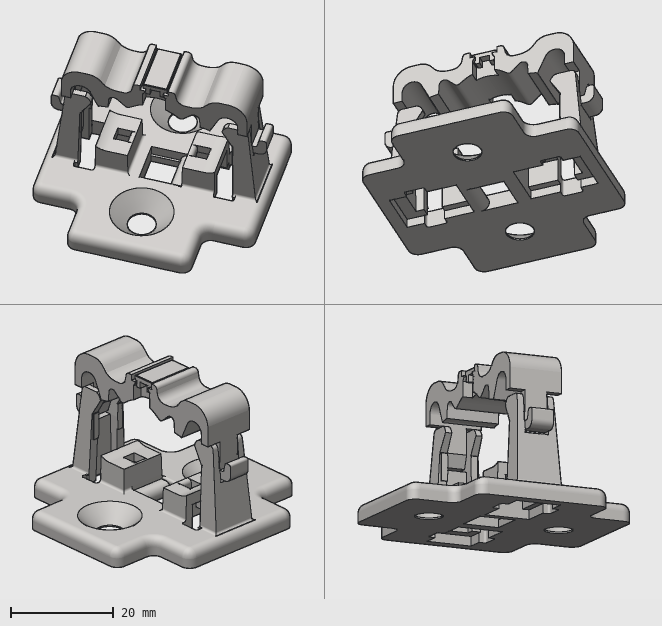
import cadquery as cq
import math

BASE_LENGTH_X = 45.0
BASE_LENGTH_Y = 48.0
WING_WIDTH_X = 25.15
WING_WIDTH_Y = 28.15
BASE_HEIGHT = 3.8
CORNER_RADIUS = 1.95
BASE_EDGE_RADIUS = 1.8
SCREW_Y = 14.0
SCREW_DIAMETER = 5.6
SINK_DIAMETER = 12.6
SINK_ANGLE = 90.0

SLOT_INNER_X = 12.1
SLOT_OUTER_X = 16.3
SLOT_LENGTH = 12.5
SLOT_CORNER_RADIUS = 0.5

HOLLOW_OUTER_X = 19.9
HOLLOW_HEIGHT = 1.9

WINDOW_LEFT_X = -3.05
WINDOW_FRONT_Y = -5.05
WINDOW_BACK_Y = 3.0
WINDOW_EDGE_RADIUS = 0.55
BAR_NOSE_X = 2.9
BAR_HEIGHT = 3.35
LEDGE_HEIGHT = 1.65
LEDGE_DEPTH = 0.5

FLARE = 0.55
FLARE_TOP = BASE_HEIGHT + FLARE
FLARE_BEND = FLARE * (1 - math.sqrt(0.5))

BLOCK_INNER_X = 5.45
BLOCK_INNER_TOP_X = 5.55
BLOCK_HEIGHT = 8.75
BLOCK_RIM_HEIGHT = 9.35
BLOCK_FLAT_END_X = 9.8
BLOCK_HALF_BOTTOM = 5.1
BLOCK_HALF_TOP = 4.95
POCKET_INNER_X = 5.95
POCKET_OUTER_X = 9.45
POCKET_WIDTH = 2.9
POCKET_EDGE_RADIUS = 0.75
CAVITY_WIDTH = 6.7
CAVITY_HEIGHT = 6.9

POST_HEIGHT = 21.95
POST_OUTER_BOTTOM_X = 20.3
POST_OUTER_TOP = (18.6, 21.0)
POST_TOP_X = (17.75, 14.45)
POST_TOOTH_BEND = (13.75, 21.35)
POST_TOOTH = (13.3, 20.45)
POST_NECK = (15.5, 16.85)
POST_INNER_BOTTOM_X = 15.7
POST_HALF_BOTTOM = 4.75
POST_HALF_TOP = 3.9
FORK_FLOOR = 13.95
FORK_HALF_BOTTOM = 2.5
FORK_HALF_TOP = 2.65
GROOVE_FLOOR_X = 17.4
GROOVE_HALF_BOTTOM = 3.0
PAD_X = 15.25
PAD_BOTTOM = 11.3
PAD_END_Y = 3.85

ARCH_WIDTH = 11.15
ARCH_TOP = 30.5
ARCH_OUTER_X = 18.8
ARCH_FOOT = 22.55
LEG_INNER_X = 16.95

SEAT_WALL_TOP_X = 3.55
SEAT_WALL_BEND = (4.15, 30.25)
SEAT_WALL_SIDE = (4.35, 29.65)
DIP_START = (4.55, 28.75)
DIP_INNER_BEND = (5.25, 27.8)
DIP_FLOOR_START = (6.35, 27.4)
DIP_FLOOR_END = (7.5, 27.4)
DIP_OUTER_BEND = (8.8, 27.65)
DIP_END = (9.95, 28.2)
SHOULDER_START = (10.95, 29.4)
SHOULDER_INNER_BEND = (12.05, 30.2)
SHOULDER_TOP_X = (13.4, 15.15)
SHOULDER_OUTER_BEND = (17.65, 29.4)
SHOULDER_END_Z = 26.8

LEG_HOLLOW_Z = 24.65
LEG_HOLLOW_CROWN = (14.95, 26.65)
LEG_HOLLOW_END = (12.9, 25.3)
TOOTH_TIP = (11.35, 21.85)
TOOTH_BEND = (10.95, 22.05)
TOOTH_INNER = (9.35, 22.25)
NOTCH_START = (9.2, 24.45)
NOTCH_CROWN = (8.35, 25.35)
NOTCH_END = (7.45, 25.05)
RIDGE_START = (5.95, 23.65)
RIDGE_TIP = (5.45, 23.4)
RIDGE_END = (4.9, 23.6)
MIDDLE_SPRING = (3.8, 24.4)
MIDDLE_BEND = (1.95, 25.25)
MIDDLE_CROWN_Z = 25.55

ARM_WIDTH = 4.7
ARM_BOTTOM = 14.6
HOOK_OUTER_X = 21.85
HOOK_TOP = 18.55
HOOK_BOTTOM_X = 20.45
HOOK_BOTTOM_BEND = (21.4, 15.05)
HOOK_SIDE_Z = (16.2, 18.0)
HOOK_TIP_OUTER_BEND = (21.7, 18.4)
HOOK_TIP_X = (21.3, 20.75)
HOOK_TIP_INNER_BEND = (20.35, 18.35)
HOOK_THROAT_TOP = (20.2, 17.95)
HOOK_THROAT_BOTTOM = (19.9, 16.8)
HOOK_THROAT_BEND = (19.8, 16.55)
HOOK_THROAT_FLOOR = (19.55, 16.45)
ARM_BEVEL_TOP = 17.3
ARM_TIP_X = 17.85
KEY_INNER_X = 18.05
KEY_BOTTOM = 16.3
KEY_TOP = 18.25

SEAT_HALF = 2.85
SEAT_Z = 29.3
CLIP_HALF = 2.45
CLIP_LENGTH = 9.95
CLIP_TOP = 30.35
CLIP_CHAMFER = 0.15
CLIP_LEG_INNER_X = 1.0
CLIP_LEG_OUTER_X = 2.1
CLIP_NECK_X = 1.8
CLIP_LEG_BOTTOM = 27.95
CLIP_LEG_CHAMFER = 0.3
CLIP_BARB_TOP = 29.0
RECESS_HALF = 2.3
RECESS_SHOULDER = 28.2
BARB_SHOULDER = RECESS_SHOULDER + CLIP_LEG_OUTER_X - CLIP_NECK_X
RECESS_DEPTH = 2.1


def box(x_range, y_range, z_range):
    """Box between the given limits."""
    size = [end - start for start, end in (x_range, y_range, z_range)]
    return cq.Workplane("XY").box(*size, centered=False).translate((x_range[0], y_range[0], z_range[0]))


def trapezoid(start_x, end_x, bottom, top):
    """Prism along X between two levels, each given as (half width in Y, Z)."""
    section = (
        cq.Workplane("YZ", origin=(start_x, 0, 0))
        .moveTo(-bottom[0], bottom[1])
        .lineTo(*bottom)
        .lineTo(*top)
        .lineTo(-top[0], top[1])
        .close()
    )
    return section.extrude(end_x - start_x)


def extrude_across(profile, width):
    """Extrude an XZ profile symmetrically about the XZ plane."""
    return profile.close().extrude(width / 2, both=True)


def both_sides(body):
    """The body together with its mirror image across the YZ plane."""
    return body.union(body.mirror("YZ"))


def drafted_envelope(half_bottom, half_top, top):
    """Long prism on the +X side whose YZ section tapers upward and flares out onto the plate."""
    section = (
        cq.Workplane("YZ")
        .moveTo(-half_bottom, 0)
        .lineTo(half_bottom, 0)
        .lineTo(half_bottom, BASE_HEIGHT)
        .lineTo(half_bottom + FLARE, BASE_HEIGHT)
        .threePointArc((half_bottom + FLARE_BEND, BASE_HEIGHT + FLARE_BEND), (half_bottom, FLARE_TOP))
        .lineTo(half_top, top)
        .lineTo(-half_top, top)
        .lineTo(-half_bottom, FLARE_TOP)
        .threePointArc(
            (-half_bottom - FLARE_BEND, BASE_HEIGHT + FLARE_BEND),
            (-half_bottom - FLARE, BASE_HEIGHT),
        )
        .lineTo(-half_bottom, BASE_HEIGHT)
        .close()
    )
    return section.extrude(BASE_LENGTH_X)


def make_base():
    base = (
        cq.Workplane("XY")
        .rect(BASE_LENGTH_X, WING_WIDTH_Y)
        .extrude(BASE_HEIGHT)
        .union(cq.Workplane("XY").rect(WING_WIDTH_X, BASE_LENGTH_Y).extrude(BASE_HEIGHT))
        .edges("|Z")
        .fillet(CORNER_RADIUS)
        .faces(">Z")
        .edges()
        .fillet(BASE_EDGE_RADIUS)
    )
    base = (
        base.faces(">Z")
        .workplane(origin=(0, 0, BASE_HEIGHT))
        .pushPoints([(0, -SCREW_Y), (0, SCREW_Y)])
        .cskHole(SCREW_DIAMETER, SINK_DIAMETER, SINK_ANGLE)
    )
    half_length = SLOT_LENGTH / 2
    slot = box((SLOT_INNER_X, SLOT_OUTER_X), (-half_length, half_length), (0, BASE_HEIGHT))
    return base.cut(both_sides(slot.edges("|Z").fillet(SLOT_CORNER_RADIUS)))


def make_block():
    """Block on the +X side, with a concave lip along its outer edge."""
    lip_run = SLOT_INNER_X - BLOCK_FLAT_END_X
    lip_rise = BLOCK_RIM_HEIGHT - BLOCK_HEIGHT
    profile = (
        cq.Workplane("XZ")
        .moveTo(SLOT_INNER_X, 0)
        .lineTo(SLOT_INNER_X, BLOCK_RIM_HEIGHT)
        .threePointArc(
            (BLOCK_FLAT_END_X + lip_run / 2, BLOCK_HEIGHT + lip_rise / 4),
            (BLOCK_FLAT_END_X, BLOCK_HEIGHT),
        )
        .lineTo(BLOCK_INNER_TOP_X, BLOCK_HEIGHT)
        .lineTo(BLOCK_INNER_X, FLARE_TOP)
        .threePointArc(
            (BLOCK_INNER_X - FLARE_BEND, BASE_HEIGHT + FLARE_BEND),
            (BLOCK_INNER_X - FLARE, BASE_HEIGHT),
        )
        .lineTo(BLOCK_INNER_X - FLARE, 0)
    )
    block = extrude_across(profile, BASE_LENGTH_Y)
    return block.intersect(drafted_envelope(BLOCK_HALF_BOTTOM, BLOCK_HALF_TOP, BLOCK_RIM_HEIGHT))


def make_block_cavity():
    """Pocket down into the +X block, joined to a wide opening in its outer face and underside."""
    pocket_half = POCKET_WIDTH / 2
    cavity_half = CAVITY_WIDTH / 2
    pocket_wall_x = POCKET_INNER_X + POCKET_EDGE_RADIUS
    pocket = box((POCKET_INNER_X, POCKET_OUTER_X), (-pocket_half, pocket_half), (0, BLOCK_RIM_HEIGHT))
    rounded_wall = (
        cq.Workplane("XZ", origin=(0, pocket_half, 0))
        .moveTo(POCKET_INNER_X, CAVITY_HEIGHT)
        .lineTo(POCKET_INNER_X, BLOCK_HEIGHT)
        .radiusArc((pocket_wall_x, BLOCK_HEIGHT - POCKET_EDGE_RADIUS), POCKET_EDGE_RADIUS)
        .lineTo(pocket_wall_x, CAVITY_HEIGHT)
        .close()
        .extrude(POCKET_WIDTH)
    )
    cavity = box((POCKET_INNER_X, SLOT_INNER_X), (-cavity_half, cavity_half), (0, CAVITY_HEIGHT))
    return pocket.cut(rounded_wall).union(cavity)


def cut_window(body):
    """Open the window in the plate, leaving a ledge at the back."""
    x_range = (WINDOW_LEFT_X, BLOCK_INNER_X)
    upper = box(x_range, (WINDOW_FRONT_Y, WINDOW_BACK_Y), (LEDGE_HEIGHT, FLARE_TOP))
    lower = box(x_range, (WINDOW_FRONT_Y, WINDOW_BACK_Y - LEDGE_DEPTH), (0, LEDGE_HEIGHT))
    front_rounding = (
        cq.Workplane("YZ", origin=(WINDOW_LEFT_X, 0, 0))
        .moveTo(WINDOW_FRONT_Y, FLARE_TOP)
        .lineTo(WINDOW_FRONT_Y - WINDOW_EDGE_RADIUS, FLARE_TOP)
        .lineTo(WINDOW_FRONT_Y - WINDOW_EDGE_RADIUS, BASE_HEIGHT)
        .radiusArc((WINDOW_FRONT_Y, BASE_HEIGHT - WINDOW_EDGE_RADIUS), WINDOW_EDGE_RADIUS)
        .close()
        .extrude(BLOCK_INNER_X - WINDOW_LEFT_X)
    )
    return body.cut(upper).cut(lower).cut(front_rounding)


def make_bar():
    """Bar with a full-round nose along the +X side of the window."""
    radius = BAR_HEIGHT / 2
    profile = (
        cq.Workplane("XZ", origin=(0, WINDOW_BACK_Y, 0))
        .moveTo(POCKET_INNER_X, 0)
        .lineTo(BAR_NOSE_X + radius, 0)
        .threePointArc((BAR_NOSE_X, radius), (BAR_NOSE_X + radius, BAR_HEIGHT))
        .lineTo(POCKET_INNER_X, BAR_HEIGHT)
        .close()
    )
    return profile.extrude(WINDOW_BACK_Y - WINDOW_FRONT_Y)


def make_post():
    """Forked post on the +X side, with a toothed head and a pad on its inner face."""
    profile = (
        cq.Workplane("XZ")
        .moveTo(POST_INNER_BOTTOM_X, 0)
        .lineTo(POST_OUTER_BOTTOM_X, 0)
        .lineTo(POST_OUTER_BOTTOM_X, BASE_HEIGHT)
        .lineTo(POST_OUTER_BOTTOM_X + FLARE, BASE_HEIGHT)
        .threePointArc(
            (POST_OUTER_BOTTOM_X + FLARE_BEND, BASE_HEIGHT + FLARE_BEND),
            (POST_OUTER_BOTTOM_X, FLARE_TOP),
        )
        .lineTo(*POST_OUTER_TOP)
        .tangentArcPoint((POST_TOP_X[0], POST_HEIGHT), relative=False)
        .lineTo(POST_TOP_X[1], POST_HEIGHT)
        .threePointArc(POST_TOOTH_BEND, POST_TOOTH)
        .lineTo(*POST_NECK)
        .lineTo(POST_INNER_BOTTOM_X, FLARE_TOP)
    )
    post = extrude_across(profile, BASE_LENGTH_Y)
    post = post.intersect(drafted_envelope(POST_HALF_BOTTOM, POST_HALF_TOP, POST_HEIGHT))
    pad = box((PAD_X, GROOVE_FLOOR_X), (-PAD_END_Y, PAD_END_Y), (PAD_BOTTOM, POST_NECK[1]))
    fork = trapezoid(0, BASE_LENGTH_X, (FORK_HALF_BOTTOM, FORK_FLOOR), (FORK_HALF_TOP, POST_HEIGHT))
    return post.union(pad).cut(fork)


def make_groove():
    """Groove down the inner face of the +X post, from the floor of its fork through the plate."""
    bottom = (GROOVE_HALF_BOTTOM, 0)
    return trapezoid(SLOT_INNER_X, GROOVE_FLOOR_X, bottom, (FORK_HALF_BOTTOM, FORK_FLOOR))


def make_hollow():
    """Hollow under the +X block and post, as wide as the foot of the post."""
    x_range = (POCKET_INNER_X, HOLLOW_OUTER_X)
    return box(x_range, (-POST_HALF_BOTTOM, POST_HALF_BOTTOM), (0, HOLLOW_HEIGHT))


def make_arch_half():
    """Half of the arch on the +X side of the YZ plane."""
    profile = (
        cq.Workplane("XZ")
        .moveTo(0, SEAT_Z)
        .lineTo(SEAT_HALF, SEAT_Z)
        .lineTo(SEAT_HALF, ARCH_TOP)
        .lineTo(SEAT_WALL_TOP_X, ARCH_TOP)
        .threePointArc(SEAT_WALL_BEND, SEAT_WALL_SIDE)
        .lineTo(*DIP_START)
        .threePointArc(DIP_INNER_BEND, DIP_FLOOR_START)
        .lineTo(*DIP_FLOOR_END)
        .threePointArc(DIP_OUTER_BEND, DIP_END)
        .lineTo(*SHOULDER_START)
        .threePointArc(SHOULDER_INNER_BEND, (SHOULDER_TOP_X[0], ARCH_TOP))
        .lineTo(SHOULDER_TOP_X[1], ARCH_TOP)
        .threePointArc(SHOULDER_OUTER_BEND, (ARCH_OUTER_X, SHOULDER_END_Z))
        .lineTo(ARCH_OUTER_X, ARCH_FOOT)
        .lineTo(LEG_INNER_X, ARCH_FOOT)
        .lineTo(LEG_INNER_X, LEG_HOLLOW_Z)
        .threePointArc(LEG_HOLLOW_CROWN, LEG_HOLLOW_END)
        .lineTo(*TOOTH_TIP)
        .lineTo(*TOOTH_BEND)
        .lineTo(*TOOTH_INNER)
        .lineTo(*NOTCH_START)
        .threePointArc(NOTCH_CROWN, NOTCH_END)
        .lineTo(*RIDGE_START)
        .threePointArc(RIDGE_TIP, RIDGE_END)
        .lineTo(*MIDDLE_SPRING)
        .threePointArc(MIDDLE_BEND, (0, MIDDLE_CROWN_Z))
    )
    return extrude_across(profile, ARCH_WIDTH)


def make_arm():
    """Arm that hangs in the +X fork and ends in an outward hook, held by keys at its sides."""
    profile = (
        cq.Workplane("XZ")
        .moveTo(LEG_INNER_X, ARCH_FOOT)
        .lineTo(LEG_INNER_X, ARM_BEVEL_TOP)
        .lineTo(ARM_TIP_X, ARM_BOTTOM)
        .lineTo(HOOK_BOTTOM_X, ARM_BOTTOM)
        .threePointArc(HOOK_BOTTOM_BEND, (HOOK_OUTER_X, HOOK_SIDE_Z[0]))
        .lineTo(HOOK_OUTER_X, HOOK_SIDE_Z[1])
        .threePointArc(HOOK_TIP_OUTER_BEND, (HOOK_TIP_X[0], HOOK_TOP))
        .lineTo(HOOK_TIP_X[1], HOOK_TOP)
        .threePointArc(HOOK_TIP_INNER_BEND, HOOK_THROAT_TOP)
        .lineTo(*HOOK_THROAT_BOTTOM)
        .threePointArc(HOOK_THROAT_BEND, HOOK_THROAT_FLOOR)
        .lineTo(ARCH_OUTER_X, HOOK_THROAT_FLOOR[1])
        .lineTo(ARCH_OUTER_X, ARCH_FOOT)
    )
    key = box((KEY_INNER_X, ARCH_OUTER_X), (-FORK_HALF_TOP, FORK_HALF_TOP), (KEY_BOTTOM, KEY_TOP))
    return extrude_across(profile, ARM_WIDTH).union(key)


def make_recesses():
    """Recesses in the front and back faces of the arch that take the clip legs."""
    profile = (
        cq.Workplane("XZ")
        .moveTo(-RECESS_HALF, ARCH_FOOT)
        .lineTo(-RECESS_HALF, RECESS_SHOULDER)
        .lineTo(-CLIP_LEG_OUTER_X, BARB_SHOULDER)
        .lineTo(-CLIP_NECK_X, CLIP_BARB_TOP)
        .lineTo(-CLIP_NECK_X, SEAT_Z)
        .lineTo(CLIP_NECK_X, SEAT_Z)
        .lineTo(CLIP_NECK_X, CLIP_BARB_TOP)
        .lineTo(CLIP_LEG_OUTER_X, BARB_SHOULDER)
        .lineTo(RECESS_HALF, RECESS_SHOULDER)
        .lineTo(RECESS_HALF, ARCH_FOOT)
    )
    web_half = ARCH_WIDTH / 2 - RECESS_DEPTH
    web = box((-RECESS_HALF, RECESS_HALF), (-web_half, web_half), (ARCH_FOOT, SEAT_Z))
    return extrude_across(profile, ARCH_WIDTH).cut(web)


def make_clip():
    """Flat plate on the seat with barbed legs that reach down into the recesses."""
    half_length = CLIP_LENGTH / 2
    plate = box((-CLIP_HALF, CLIP_HALF), (-half_length, half_length), (SEAT_Z, CLIP_TOP))
    plate = plate.faces(">Z").edges().chamfer(CLIP_CHAMFER)
    leg_profile = (
        cq.Workplane("XZ")
        .moveTo(CLIP_LEG_INNER_X, SEAT_Z)
        .lineTo(CLIP_NECK_X, SEAT_Z)
        .lineTo(CLIP_NECK_X, CLIP_BARB_TOP)
        .lineTo(CLIP_LEG_OUTER_X, BARB_SHOULDER)
        .lineTo(CLIP_LEG_OUTER_X, CLIP_LEG_BOTTOM + CLIP_LEG_CHAMFER)
        .lineTo(CLIP_LEG_OUTER_X - CLIP_LEG_CHAMFER, CLIP_LEG_BOTTOM)
        .lineTo(CLIP_LEG_INNER_X, CLIP_LEG_BOTTOM)
    )
    return plate.union(both_sides(extrude_across(leg_profile, CLIP_LENGTH)))


arch = both_sides(make_arch_half().union(make_arm())).cut(make_recesses()).union(make_clip())
base = make_base().union(both_sides(make_block()))
base = cut_window(base).union(make_bar()).cut(both_sides(make_block_cavity()))
base = base.union(both_sides(make_post())).cut(both_sides(make_groove().union(make_hollow())))

result = base.union(arch)